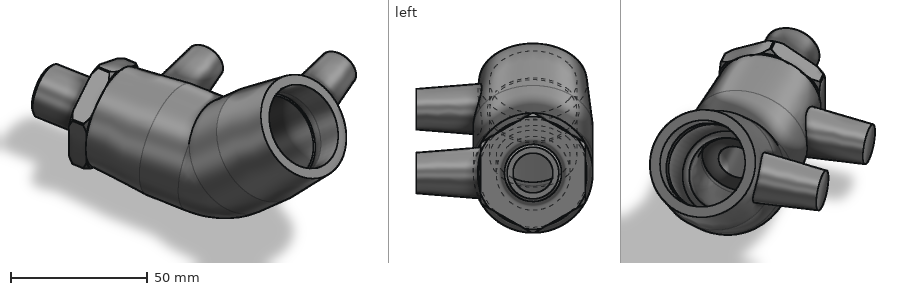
import cadquery as cq
import math

body_diameter = 44.0
end_diameter = 39.7
leg_straight = 16.5
leg_taper = 23.9
bend_angle = 45.0
bend_radius = 17.0

stub_diameter = 21.0
stub_length = 21.5
stub_chamfer = 1.0
hex_flats = 38.5
hex_thickness = 7.5
hex_chamfer = 1.4

inlet_bore = 14.6
bend_bore = 27.2
socket_bore = 32.0
stop_length = 1.7
groove_depth = 0.9
groove_start = 10.5
groove_end = 14.9

boss_tip_diameter = 15.0
boss_height = 42.9
boss_taper = 4.6
boss_from_leg_end = 14.4

hex_end = stub_length + hex_thickness
leg_length = leg_straight + leg_taper
bend_start = hex_end + leg_length
bend_radians = math.radians(bend_angle)
outlet_direction = cq.Vector(math.cos(bend_radians), 0, math.sin(bend_radians))
outlet_start = cq.Vector(
    bend_start + bend_radius * math.sin(bend_radians),
    0,
    bend_radius * (1 - math.cos(bend_radians)),
)
outlet_end = outlet_start + outlet_direction * leg_length
inlet_direction = cq.Vector(1, 0, 0)


def rod(diameter, length, start, direction):
    return cq.Workplane(obj=cq.Solid.makeCylinder(diameter / 2, length, start, direction))


def leg(start, direction):
    """Straight stretch followed by a taper, beginning at the bend."""
    straight = rod(body_diameter, leg_straight, start, direction)
    taper_start = start + direction * leg_straight
    taper = cq.Solid.makeCone(body_diameter / 2, end_diameter / 2, leg_taper, taper_start, direction)
    return straight.union(cq.Workplane(obj=taper))


def bend(diameter):
    """Sweep a round section about the bend axis, dropping any part that lies past the axis."""
    section = cq.Workplane("YZ", origin=(bend_start, 0, 0)).circle(diameter / 2)
    if diameter / 2 > bend_radius:
        half_chord = math.sqrt((diameter / 2) ** 2 - bend_radius ** 2)
        section = (
            cq.Workplane("YZ", origin=(bend_start, 0, 0))
            .moveTo(-half_chord, bend_radius)
            .threePointArc((0, -diameter / 2), (half_chord, bend_radius))
            .close()
        )
    solid = section.revolve(bend_angle, (1.2, bend_radius), (0, bend_radius)).val()
    return cq.Workplane(obj=solid.toNURBS())


def hex_nut():
    """Hexagon with points up and down, its corners turned off with a chamfered disc."""
    corner_diameter = hex_flats / math.cos(math.pi / 6)
    hexagon = (
        cq.Workplane("YZ", origin=(stub_length, 0, 0))
        .transformed(rotate=(0, 0, 90))
        .polygon(6, corner_diameter)
        .extrude(hex_thickness)
    )
    disc = (
        cq.Workplane("YZ", origin=(stub_length, 0, 0))
        .circle(body_diameter / 2)
        .extrude(hex_thickness)
        .edges()
        .chamfer(hex_chamfer)
    )
    return hexagon.intersect(disc)


def boss(center):
    root_radius = boss_tip_diameter / 2 + boss_height * math.tan(math.radians(boss_taper))
    cone = cq.Solid.makeCone(root_radius, boss_tip_diameter / 2, boss_height, center, cq.Vector(0, 1, 0))
    return cq.Workplane(obj=cone)


stub = (
    cq.Workplane("YZ")
    .circle(stub_diameter / 2)
    .extrude(stub_length)
    .faces("<X")
    .chamfer(stub_chamfer)
)
inlet_leg = leg(cq.Vector(bend_start, 0, 0), inlet_direction * -1)
outlet_leg = leg(outlet_start, outlet_direction)
body = stub.union(hex_nut()).union(inlet_leg).union(bend(body_diameter)).union(outlet_leg)

inlet_boss_center = cq.Vector(hex_end + boss_from_leg_end, 0, 0)
outlet_boss_center = outlet_end - outlet_direction * boss_from_leg_end
body = body.union(boss(inlet_boss_center)).union(boss(outlet_boss_center))

inlet_stop_start = bend_start - stop_length
socket_length = leg_length - stop_length
body = body.cut(rod(inlet_bore, inlet_stop_start, cq.Vector(0, 0, 0), inlet_direction))
body = body.cut(rod(bend_bore, stop_length, cq.Vector(inlet_stop_start, 0, 0), inlet_direction))
body = body.cut(bend(bend_bore))
body = body.cut(rod(bend_bore, stop_length, outlet_start, outlet_direction))
body = body.cut(rod(socket_bore, socket_length, outlet_end, outlet_direction * -1))
groove_top = outlet_end - outlet_direction * groove_start
groove = cq.Solid.makeCone(
    socket_bore / 2,
    socket_bore / 2 + groove_depth,
    groove_end - groove_start,
    groove_top,
    outlet_direction * -1,
)
body = body.cut(cq.Workplane(obj=groove))

result = body